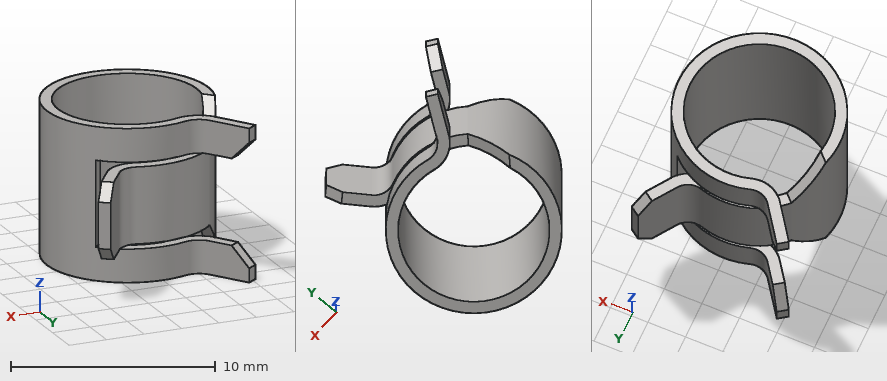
import cadquery as cq
import math


height = 8.0
outer_radius = 4.3
thickness = 0.61
inner_radius = outer_radius - thickness

tongue_width = 4.0
tine_gap = 4.5
tine_width = (height - tine_gap) / 2
tongue_root_angle = 135
taper_length = (height - tongue_width) / 2

arm_angle = 55
arm_tip_y = 6.32
arm_tip_x = 3.7
bend_radius = 1.0
tongue_chamfer = 0.8
tine_chamfer = 1.0


def polar(radius, angle, center=(0, 0)):
    """Point at a radius and an angle in degrees about a centre."""
    turn = math.radians(angle)
    return (center[0] + radius * math.cos(turn), center[1] + radius * math.sin(turn))


normal_angle = arm_angle + 90
normal = polar(1, normal_angle)
bend_center_distance = outer_radius + bend_radius
tip_offset = arm_tip_x * normal[0] + arm_tip_y * normal[1]
contact_angle = normal_angle - math.degrees(
    math.acos((tip_offset + bend_radius) / bend_center_distance)
)
bend_center = polar(bend_center_distance, contact_angle)

bend_start_angle = contact_angle + 180
bend_end_angle = normal_angle + 180
bend_middle_angle = (bend_start_angle + bend_end_angle) / 2
strip_middle_angle = (tongue_root_angle + contact_angle) / 2
inner_tip = (arm_tip_x, arm_tip_y)
outer_tip = polar(thickness, bend_end_angle, inner_tip)
tip_middle = polar(thickness / 2, bend_end_angle, inner_tip)


def arm_strip(bottom, width):
    """Ring arc from the tongue root, then the bend and the right-hand arm."""
    outer_bend = bend_radius + thickness
    return (
        cq.Workplane("XY", origin=(0, 0, bottom))
        .moveTo(*polar(outer_radius, tongue_root_angle))
        .threePointArc(polar(outer_radius, strip_middle_angle), polar(outer_radius, contact_angle))
        .threePointArc(
            polar(bend_radius, bend_middle_angle, bend_center),
            polar(bend_radius, bend_end_angle, bend_center),
        )
        .lineTo(*inner_tip)
        .lineTo(*outer_tip)
        .lineTo(*polar(outer_bend, bend_end_angle, bend_center))
        .threePointArc(
            polar(outer_bend, bend_middle_angle, bend_center),
            polar(inner_radius, contact_angle),
        )
        .threePointArc(polar(inner_radius, strip_middle_angle), polar(inner_radius, tongue_root_angle))
        .close()
        .extrude(width)
    )


def chamfer_tip(strip, z, size):
    """Chamfer the corner edge of the arm tip at height z."""
    tip_edge = cq.selectors.NearestToPointSelector((*tip_middle, z))
    return strip.edges(tip_edge).chamfer(size)


def band():
    """Full-height ring, open over the upper quarter, tapered towards the tongue."""
    opening_reach = 2 * outer_radius
    ring = cq.Workplane("XY").circle(outer_radius).circle(inner_radius).extrude(height / 2, both=True)
    opening = (
        cq.Workplane("XY")
        .polyline([(0, 0), (opening_reach, opening_reach), (-opening_reach, opening_reach)])
        .close()
        .extrude(height / 2, both=True)
    )
    root_plane = cq.Plane(origin=(0, 0, 0), xDir=(1, 1, 0), normal=(-1, 1, 0))
    ring = ring.cut(opening)
    for side in (1, -1):
        taper = (
            cq.Workplane(root_plane)
            .polyline(
                [
                    (-taper_length, side * height / 2),
                    (0, side * height / 2),
                    (0, side * tongue_width / 2),
                ]
            )
            .close()
            .extrude(outer_radius)
        )
        ring = ring.cut(taper)
    return ring


def tongue():
    """Central strip ending in the right-hand arm."""
    strip = arm_strip(-tongue_width / 2, tongue_width)
    for side in (1, -1):
        strip = chamfer_tip(strip, side * tongue_width / 2, tongue_chamfer)
    return strip


def right_hand_tine():
    """Upper fork strip on the right-hand arm, chamfered on its gap side."""
    strip = arm_strip(tine_gap / 2, tine_width)
    return chamfer_tip(strip, tine_gap / 2, tine_chamfer)


def lower_tine():
    """Lower fork strip: half a turn about Y carries the arm to the left-hand side."""
    return right_hand_tine().rotate((0, 0, 0), (0, 1, 0), 180)


tine = lower_tine()
tines = tine.union(tine.mirror("XY"))
result = band().union(tines).union(tongue(), clean=False)